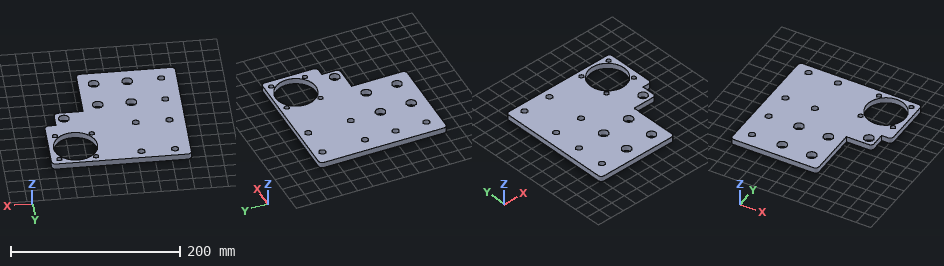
import cadquery as cq

plate_length = 167.0
plate_width = 166.3
plate_thickness = 8.0
corner_radius = 5.0
lower_edge_length = 118.2
tongue_end = 153.3
tongue_bottom = 70.5
tongue_top = 93.0

opening_center = (135.1, 135.5)
opening_diameter = 52.1
screw_spacing = 44.0
screw_diameter = 6.0

medium_diameter = 8.2
left_column_x = 18.9
second_column_x = 59.0
upper_row_y = 154.5
middle_row_y = 99.0
left_lower_row_y = 59.1
left_bottom_row_y = 19.0

large_diameter = 12.4
large_spacing = 40.0
large_grid_center = (79.5, 40.0)
tongue_hole = (142.5, 81.5)


def square_points(center, spacing):
    """Four corner points of a square about the given center."""
    half = spacing / 2
    return [(center[0] + sx * half, center[1] + sy * half) for sx in (-1, 1) for sy in (-1, 1)]


def make_plate():
    """Stepped plate with rounded outer corners and sharp inner corners."""
    plate = (
        cq.Workplane("XY")
        .polyline([
            (0, 0),
            (lower_edge_length, 0),
            (lower_edge_length, tongue_bottom),
            (tongue_end, tongue_bottom),
            (tongue_end, tongue_top),
            (plate_length, tongue_top),
            (plate_length, plate_width),
            (0, plate_width),
        ])
        .close()
        .extrude(plate_thickness)
    )
    outer_corners = [
        (0, 0),
        (lower_edge_length, 0),
        (tongue_end, tongue_bottom),
        (plate_length, tongue_top),
        (plate_length, plate_width),
        (0, plate_width),
    ]
    for x, y in outer_corners:
        corner_edge = cq.selectors.NearestToPointSelector((x, y, plate_thickness / 2))
        plate = plate.edges("|Z").edges(corner_edge).fillet(corner_radius)
    return plate


def drill(body, points, diameter):
    """Cut through holes of one diameter at the given points."""
    holes = cq.Workplane("XY").pushPoints(points).circle(diameter / 2).extrude(plate_thickness)
    return body.cut(holes)


medium_holes = [
    (left_column_x, upper_row_y),
    (left_column_x, middle_row_y),
    (left_column_x, left_lower_row_y),
    (left_column_x, left_bottom_row_y),
    (second_column_x, upper_row_y),
    (second_column_x, middle_row_y),
]
large_holes = square_points(large_grid_center, large_spacing) + [tongue_hole]

result = make_plate()
result = drill(result, [opening_center], opening_diameter)
result = drill(result, square_points(opening_center, screw_spacing), screw_diameter)
result = drill(result, medium_holes, medium_diameter)
result = drill(result, large_holes, large_diameter)